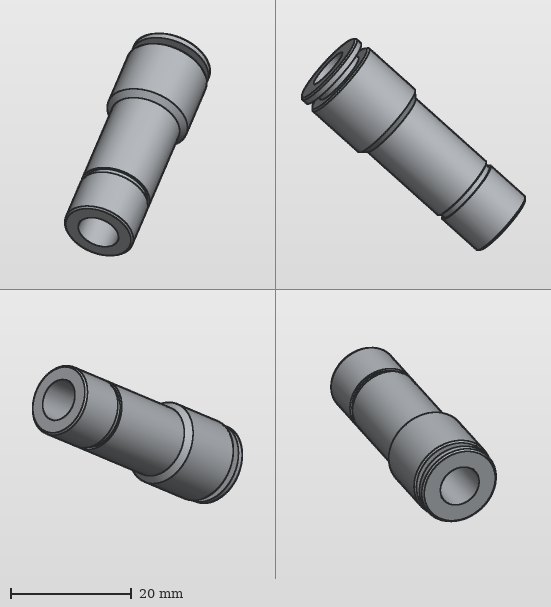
import cadquery as cq

length = 39.2
groove_start = 8.05
groove_end = 9.05
shoulder_start = 24.97
shoulder_end = 26.03
body_end = 36.6
collar_start = 37.9

bore_radius = 7.0 / 2
stem_radius = 11.95 / 2
groove_radius = 11.2 / 2
body_radius = 14.0 / 2
neck_radius = 9.4 / 2
collar_radius = 13.5 / 2

edge_chamfer = 0.3

half_section = [
    (bore_radius, 0),
    (stem_radius - edge_chamfer, 0),
    (stem_radius, edge_chamfer),
    (stem_radius, groove_start),
    (groove_radius, groove_start),
    (groove_radius, groove_end),
    (stem_radius, groove_end),
    (stem_radius, shoulder_start),
    (body_radius, shoulder_end),
    (body_radius, body_end - edge_chamfer),
    (body_radius - edge_chamfer, body_end),
    (neck_radius, body_end),
    (neck_radius, collar_start),
    (collar_radius, collar_start),
    (collar_radius, length - edge_chamfer),
    (collar_radius - edge_chamfer, length),
    (bore_radius, length),
]

result = (
    cq.Workplane("XY")
    .polyline(half_section)
    .close()
    .revolve(360, (0, 0, 0), (0, 1, 0))
)